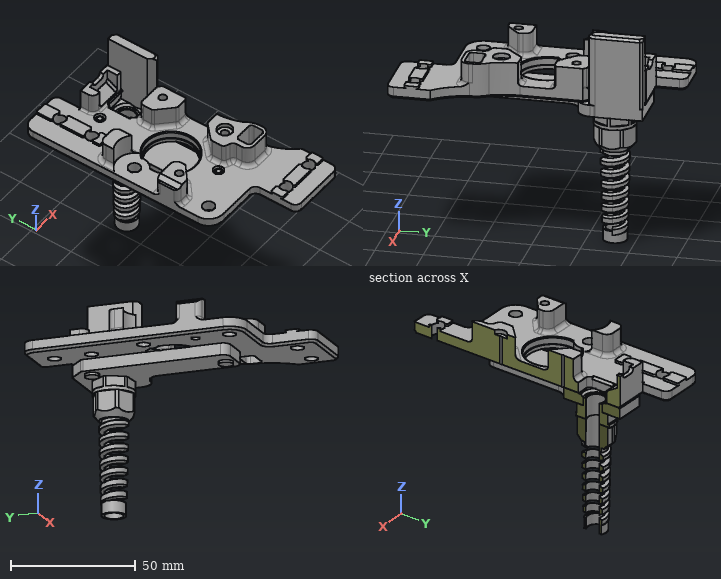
import cadquery as cq
import math

plate_thickness = 5.0
plate_length = 116.0
plate_bottom_chamfer = 1.0
boss_top = 15.0
pad_height = 1.0

body_width = 43.7
arm_width = 22.0
foot_left = 28.1
foot_right = 56.0
body_bottom = 21.5
holder_back = 103.5
blade_face = 40.1
foot_corner_radius = 3.0
body_corner_radius = 7.4
arm_left_radius = 5.0
arm_right_radius = 3.0

mount_hole_diameter = 5.5
boss_hole_diameter = 3.5
post_x = 7.4
pivot = (post_x, 65.9)
mount_holes = [pivot, (post_x, 28.9), (11.8, 106.1), (11.8, 90.1), (34.3, 10.1), (49.6, 10.1)]
counterbored_hole = (38.4, 43.5)
boss_holes = [(38.4, 74.5), (post_x, 43.5), counterbored_hole]
counterbore_diameter = 6.8
counterbore_depth = 2.0
bore_center = (23.0, 59.0)
bore_radius = 12.0
bore_lip_radius = 11.5
bore_lip_height = 1.7
bore_chamfer = 0.5
pivot_land_radius = 6.3
pivot_clearance_radius = 8.4

boss_foot_radius = 2.0
holder_foot_radius = 1.0

cover_thickness = 5.0
cover_left = 16.9
cover_inner_right = 33.5
cover_right = 45.2
cover_bottom = 33.4
cover_top = 103.1
blade_top = 30.0
blade_end = 80.5
blade_chamfer = 1.0

screw_places = [(22.3, 94.0), (26.3, 37.8)]
screw_diameter = 3.4
screw_tip_chamfer = 0.6
screw_tip_drop = 0.5
screw_head_diameter = 6.0
screw_head_height = 1.0
screw_countersink_diameter = 4.8

gland_center = (34.5, 89.4)
gland_bore_diameter = 7.9
gland_mouth_diameter = 8.5
gland_stem_diameter = 10.4
gland_seat_diameter = 12.5
gland_hex_flats = 15.8
gland_flange_diameter = 17.5
gland_hex_turn = -4.0
gland_hex_bottom = -9.3
gland_flange_bottom = -10.9
nut_turn = 30.0
nut_cone_top = -18.6
nut_bottom = -21.6
nut_end_radius = 6.0

relief_bottom = -61.5
relief_collar_top = -56.4
relief_collar_diameter = 10.0
relief_neck_bottom = -23.7
spiral_pitch = 5.0
spiral_turns = 6.8
spiral_start = -56.7
spiral_inner_radius = 3.8
spiral_outer_radius = 6.3
spiral_root_height = 3.8
spiral_crest_height = 1.5
spiral_top_radius = 6.21
spiral_bottom_radius = 5.16


def level(z):
    """Horizontal workplane at height z."""
    return cq.Workplane("XY").workplane(offset=z)


def disc(center, radius, bottom, top):
    """Vertical cylinder between two heights."""
    return level(bottom).center(*center).circle(radius).extrude(top - bottom)


def block(left, right, front, back, bottom, top):
    """Box given by its limits."""
    return level(bottom).center((left + right) / 2, (front + back) / 2).rect(
        right - left, back - front
    ).extrude(top - bottom)


def corner(x, y):
    """Selector for the vertical edge at a place."""
    reach = 0.1
    height = plate_length
    return cq.selectors.BoxSelector((x - reach, y - reach, -height), (x + reach, y + reach, height))


def rounded_prism(corners, bottom, top):
    """Vertical prism from (x, y, corner radius) points; radius 0 keeps a sharp corner."""
    prism = level(bottom).polyline([(x, y) for x, y, _ in corners]).close().extrude(top - bottom)
    for x, y, radius in corners:
        if radius > 0:
            prism = prism.edges("|Z").edges(corner(x, y)).fillet(radius)
    return prism


def footed(prism, foot_radius):
    """Boss prism standing on a wide slab, with a concave fillet around its foot."""
    box = prism.val().BoundingBox()
    margin = 4.6
    slab = block(box.xmin - margin, box.xmax + margin, box.ymin - margin, box.ymax + margin,
                 plate_thickness / 2, plate_thickness)
    reach = 0.1
    foot = cq.selectors.BoxSelector(
        (box.xmin - reach, box.ymin - reach, plate_thickness - reach),
        (box.xmax + reach, box.ymax + reach, plate_thickness + reach),
    )
    return slab.union(prism).edges(foot).fillet(foot_radius)


def plate_blank(top):
    """Prism over the plate outline."""
    return (
        level(0)
        .moveTo(0, body_bottom)
        .lineTo(foot_left, body_bottom)
        .lineTo(foot_left, 0)
        .lineTo(foot_right, 0)
        .lineTo(foot_right, 18.1)
        .threePointArc((51.3, 24.8), (48.7, 32.5))
        .threePointArc((48.1, 36.8), (46.3, 40.1))
        .threePointArc((44.4, 45.6), (body_width, 52.2))
        .lineTo(body_width, 78.3)
        .lineTo(blade_face, 82.4)
        .lineTo(blade_face, holder_back)
        .lineTo(arm_width, holder_back)
        .lineTo(arm_width, plate_length)
        .lineTo(0, plate_length)
        .close()
        .extrude(top)
        .edges("|Z").edges(corner(0, body_bottom)).fillet(body_corner_radius)
        .edges("|Z").edges(corner(foot_left, body_bottom)).fillet(foot_corner_radius)
        .edges("|Z").edges(corner(foot_left, 0)).fillet(foot_corner_radius)
        .edges("|Z").edges(corner(foot_right, 0)).fillet(foot_corner_radius)
        .edges("|Z").edges(corner(arm_width, plate_length)).fillet(arm_right_radius)
        .edges("|Z").edges(corner(0, plate_length)).fillet(arm_left_radius)
    )


def pads():
    """Raised pads between the mounting holes of the arm and of the foot."""
    pad_corner_radius = 0.7
    pad_top = plate_thickness + pad_height
    arm_pads = [(108.3, plate_length), (92.5, 104.3), (84.2, 88.2)]
    foot_pads = [(foot_left, 32.1), (36.2, 47.7), (51.7, foot_right)]
    limits = [(8.9, 15.0, front, back) for front, back in arm_pads]
    limits += [(left, right, 7.3, 13.1) for left, right in foot_pads]
    bottom = plate_thickness / 2
    return [block(*sides, bottom, pad_top).edges("|Z").fillet(pad_corner_radius) for sides in limits]


def pivot_boss():
    """Boss scooped by a cylinder around the pivot hole."""
    prism = rounded_prism(
        [(2.9, 71.3, 0), (13.5, 71.3, 0), (13.5, 79.9, 3.0), (2.9, 79.9, 3.0)], plate_thickness, boss_top
    )
    scoop = disc(pivot, pivot_clearance_radius, plate_thickness, boss_top)
    return footed(prism, boss_foot_radius).cut(scoop)


def upper_boss():
    """Five-sided boss beside the blade."""
    return footed(
        rounded_prism(
            [(30.2, 79.9, 1.7), (30.2, 73.5, 1.7), (37.4, 66.4, 1.7), (42.9, 66.4, 1.7),
             (45.2, 68.2, 0), (45.2, 76.6, 0), (42.2, 79.9, 1.7)],
            plate_thickness, boss_top,
        ),
        boss_foot_radius,
    )


def left_boss():
    """Boss on the left edge, with its outer top edge beveled in two steps."""
    bevel_width = 2.9
    bevel_depth = 1.4
    break_width = 0.6
    break_depth = 2.1
    bevel_length = 69.6
    prism = rounded_prism(
        [(0, 49.6, 2.0), (12.8, 49.6, 3.2), (12.8, 44.3, 0.9), (6.3, 38.7, 1.7), (0, 38.7, 2.1)],
        plate_thickness, boss_top,
    )
    bevel = (
        cq.Workplane("XZ")
        .polyline([(0, boss_top), (bevel_width, boss_top), (break_width, boss_top - bevel_depth),
                   (0, boss_top - break_depth)])
        .close()
        .extrude(-bevel_length)
    )
    return footed(prism, boss_foot_radius).cut(bevel)


def lower_boss():
    """Boss around the window, running out to the curved edge of the plate."""
    return footed(
        rounded_prism(
            [(37.5, 51.5, 1.7), (30.2, 44.4, 1.7), (30.2, 38.2, 1.7), (34.5, 36.4, 2.3),
             (34.5, 28.5, 3.7), (48.7, 28.5, 3.7), (48.7, 41.8, 0), (45.8, 49.9, 0), (43.5, 51.5, 0)],
            plate_thickness, boss_top,
        ),
        boss_foot_radius,
    )


def holder():
    """Upright three-sided holder with a sloped floor and a notch in its back wall."""
    front = 96.6
    back_wall = 101.6
    pocket_left = 25.9
    pocket_right = 37.8
    floor_front = plate_thickness + holder_foot_radius
    floor_back = 9.0
    notch_left = 28.3
    notch_right = 35.1
    notch_depth = 1.9
    notch_radius = 1.7
    floor_bevel = 1.0
    beyond = 2.3
    prism = rounded_prism(
        [(arm_width, front, 2.9), (blade_face + beyond, front, 0),
         (blade_face + beyond, holder_back + beyond, 0), (arm_width, holder_back + beyond, 0)],
        plate_thickness, boss_top,
    )
    pocket = (
        cq.Workplane("YZ", origin=(pocket_left, 0, 0))
        .polyline([(front, floor_front), (back_wall, floor_back), (back_wall, boss_top), (front, boss_top)])
        .close()
        .extrude(pocket_right - pocket_left)
    )
    for side in (pocket_left, pocket_right):
        floor_edge = (side, (front + back_wall) / 2, (floor_front + floor_back) / 2)
        pocket = pocket.edges(cq.selectors.NearestToPointSelector(floor_edge)).chamfer(floor_bevel)
    notch_bottom = boss_top - notch_depth
    notch = block(notch_left, notch_right, back_wall, holder_back, notch_bottom, boss_top + beyond)
    notch = notch.edges("|Y and <Z").fillet(notch_radius)
    foot_end = block(arm_width - beyond, arm_width, holder_back, holder_back + 2 * beyond,
                     plate_thickness, boss_top)
    return footed(prism, holder_foot_radius).cut(pocket).cut(notch).cut(foot_end)


def cable_opening():
    """Opening above the gland, beveled along its left edge."""
    left = 29.9
    front = 82.4
    back = 96.5
    bevel = 1.0
    corner_radius = 1.7
    opening = block(left, blade_face, front, back, 0, plate_thickness)
    opening = opening.edges("|Z and <X").fillet(corner_radius)
    slope = (
        cq.Workplane("XZ", origin=(0, front + corner_radius, 0))
        .polyline([(left, plate_thickness), (left - bevel, plate_thickness), (left, plate_thickness - bevel)])
        .close()
        .extrude(front + 2 * corner_radius - back)
    )
    return opening.union(slope)


def bore():
    """Large stepped bore that leaves a round land around the pivot hole."""
    opening = disc(bore_center, bore_lip_radius, 0, plate_thickness)
    opening = opening.union(disc(bore_center, bore_radius, bore_lip_height, plate_thickness))
    rim = (
        level(plate_thickness).center(*bore_center).circle(bore_radius + bore_chamfer)
        .workplane(offset=-bore_chamfer).circle(bore_radius).loft()
    )
    return opening.union(rim).cut(disc(pivot, pivot_land_radius, 0, plate_thickness))


def window():
    """Rounded window through the lower boss."""
    window_radius = 1.5
    return block(37.0, 47.0, 30.0, 36.9, 0, boss_top).edges("|Z").fillet(window_radius)


def screw_seat(place):
    """Screw hole through the plate with a countersink on top."""
    sink = (screw_countersink_diameter - screw_diameter) / 2
    hole = disc(place, screw_diameter / 2, 0, plate_thickness)
    cone = (
        level(plate_thickness).center(*place).circle(screw_countersink_diameter / 2)
        .workplane(offset=-sink).circle(screw_diameter / 2).loft()
    )
    return hole.union(cone)


def build_plate():
    plate = plate_blank(plate_thickness).faces("<Z").edges().chamfer(plate_bottom_chamfer)
    outline = plate_blank(boss_top)
    for feature in [pivot_boss(), upper_boss(), left_boss(), lower_boss(), holder(), *pads()]:
        plate = plate.union(feature.intersect(outline))
    plate = plate.cut(cable_opening()).cut(bore()).cut(window())
    for place in mount_holes:
        plate = plate.cut(disc(place, mount_hole_diameter / 2, 0, boss_top))
    for place in boss_holes:
        plate = plate.cut(disc(place, boss_hole_diameter / 2, 0, boss_top))
    plate = plate.cut(
        disc(counterbored_hole, counterbore_diameter / 2, boss_top - counterbore_depth, boss_top)
    )
    for place in screw_places:
        plate = plate.cut(screw_seat(place))
    return plate


def blade():
    """Upright blade with a rounded front end and beveled top edges."""
    upright = (
        level(-cover_thickness)
        .moveTo(blade_face, cover_top)
        .lineTo(cover_right - blade_chamfer, cover_top)
        .lineTo(cover_right, cover_top - blade_chamfer)
        .lineTo(cover_right, 83.5)
        .threePointArc((44.4, 81.3), (42.5, blade_end))
        .lineTo(blade_face, 83.5)
        .close()
        .extrude(blade_top + cover_thickness)
    )
    reach = 0.1
    beveled_sides = cq.selectors.BoxSelector(
        (42.6, blade_end, blade_top - reach), (cover_right + reach, cover_top + reach, blade_top + reach)
    )
    return upright.edges(beveled_sides).chamfer(blade_chamfer)


def build_cover():
    strip_corner_radius = 3.7
    head_corner_radius = 6.0
    inner_radius = 5.6
    head_front = 75.4
    slab = rounded_prism(
        [(cover_left, cover_bottom, 3.1), (cover_inner_right, cover_bottom, strip_corner_radius),
         (cover_inner_right, head_front, inner_radius), (cover_right, head_front, head_corner_radius),
         (cover_right, cover_top, 0), (23.4, cover_top, 1.7), (cover_left, 96.6, 1.7)],
        -cover_thickness, 0,
    )
    cover = slab.union(blade())
    seat_depth = (gland_seat_diameter - gland_stem_diameter) / 2
    cover = cover.cut(disc(gland_center, gland_stem_diameter / 2, -cover_thickness, 0))
    cover = cover.cut(
        level(0).center(*gland_center).circle(gland_seat_diameter / 2)
        .workplane(offset=-seat_depth).circle(gland_stem_diameter / 2).loft()
        .cut(block(blade_face, cover_right, blade_end, cover_top, -cover_thickness, 0))
    )
    for place in screw_places:
        cover = cover.cut(disc(place, screw_diameter / 2, -cover_thickness, 0))
    return cover


def build_screw(place):
    tip = plate_thickness - screw_tip_drop
    shank = disc(place, screw_diameter / 2, -cover_thickness, tip).faces(">Z").chamfer(screw_tip_chamfer)
    head = disc(place, screw_head_diameter / 2, -cover_thickness - screw_head_height, -cover_thickness)
    return shank.union(head)


def gland_hex(bottom, top, turn):
    """Hexagon with its corners rounded off to the flange diameter."""
    across_corners = gland_hex_flats / math.cos(math.radians(30))
    prism = level(bottom).transformed(rotate=(0, 0, turn)).polygon(6, across_corners).extrude(top - bottom)
    return prism.intersect(disc((0, 0), gland_flange_diameter / 2, bottom, top))


def gland_bore(bottom, top):
    return disc((0, 0), gland_bore_diameter / 2, bottom, top)


def build_gland_body():
    """Hexagon and flange below the cover, with a stem filling the hole in the cover."""
    mouth = (gland_mouth_diameter - gland_bore_diameter) / 2
    body = gland_hex(gland_hex_bottom, -cover_thickness, gland_hex_turn)
    body = body.union(disc((0, 0), gland_flange_diameter / 2, gland_flange_bottom, gland_hex_bottom))
    stem_top = -(gland_seat_diameter - gland_stem_diameter) / 2
    body = body.union(disc((0, 0), gland_stem_diameter / 2, -cover_thickness, stem_top))
    body = body.cut(gland_bore(gland_flange_bottom, 0))
    body = body.faces(">Z").edges("%CIRCLE").edges(cq.selectors.RadiusNthSelector(0)).chamfer(mouth)
    return body.translate((*gland_center, 0))


def spiral():
    """Single coil that tapers in outer diameter toward the lower collar."""
    height = spiral_turns * spiral_pitch
    path = cq.Wire.makeHelix(spiral_pitch, height, spiral_inner_radius)
    coil = (
        cq.Workplane("XZ")
        .polyline([
            (spiral_inner_radius, -spiral_root_height / 2),
            (spiral_outer_radius, -spiral_crest_height / 2),
            (spiral_outer_radius, spiral_crest_height / 2),
            (spiral_inner_radius, spiral_root_height / 2),
        ])
        .close()
        .sweep(cq.Workplane(path), isFrenet=True)
        .translate((0, 0, spiral_start))
    )
    envelope_bottom = spiral_start - spiral_pitch
    envelope_top = nut_bottom + spiral_pitch
    envelope = (
        level(envelope_bottom).circle(spiral_bottom_radius)
        .workplane(offset=envelope_top - envelope_bottom).circle(spiral_top_radius).loft()
    )
    return coil.intersect(envelope)


def build_gland_nut():
    """Hexagonal nut with a conical end, carrying the bend relief spiral and its collar."""
    outer = gland_flange_diameter / 2
    end_cone = (
        cq.Workplane("XZ")
        .polyline([(0, gland_flange_bottom), (outer, gland_flange_bottom), (outer, nut_cone_top),
                   (nut_end_radius, nut_bottom), (0, nut_bottom)])
        .close()
        .revolve(360, (0, 0, 0), (0, 1, 0))
    )
    nut = gland_hex(nut_bottom, gland_flange_bottom, nut_turn).intersect(end_cone)
    nut = nut.union(disc((0, 0), relief_collar_diameter / 2, relief_neck_bottom, nut_bottom))
    nut = nut.union(spiral())
    nut = nut.union(disc((0, 0), relief_collar_diameter / 2, relief_bottom, relief_collar_top))
    nut = nut.cut(gland_bore(relief_bottom, gland_flange_bottom))
    return nut.translate((*gland_center, 0))


plate = build_plate()
cover = build_cover()
screws = [build_screw(place) for place in screw_places]
gland_body = build_gland_body()
gland_nut = build_gland_nut()

result = cq.Compound.makeCompound(
    [plate.val(), cover.val(), *[screw.val() for screw in screws], gland_body.val(), gland_nut.val()]
)